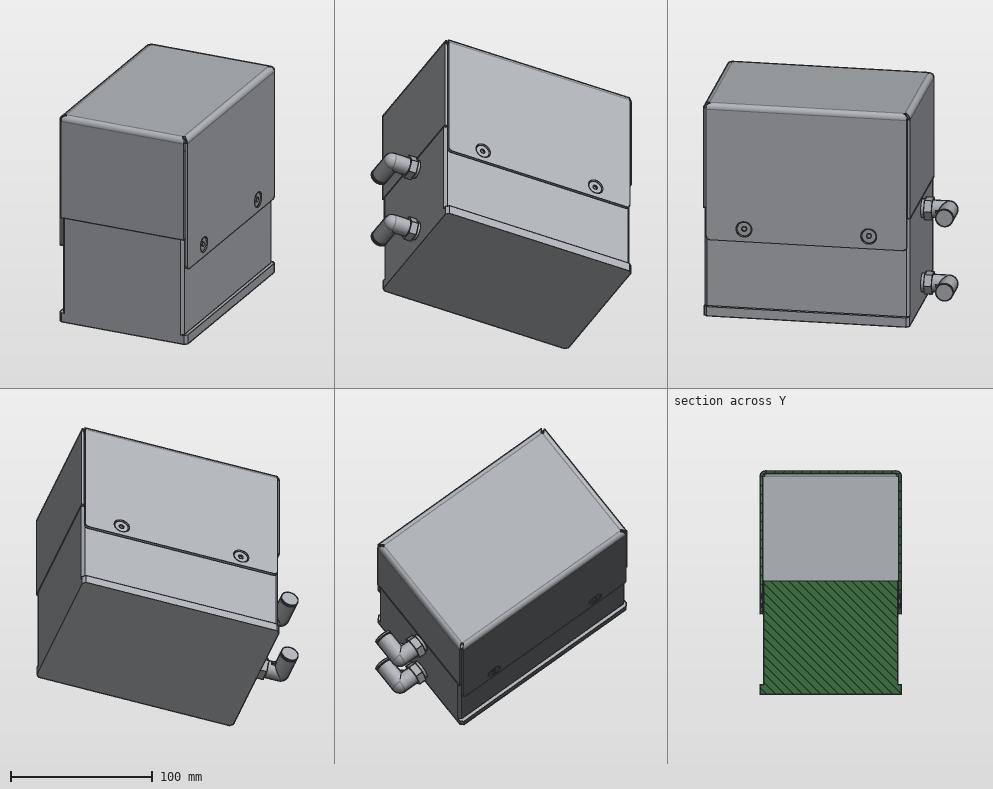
import cadquery as cq
overall_length = 173.5
overall_height = 158.0

cover_width = 100.0
cover_length = 148.3
sheet = 1.9
bend_radius = 4.0
corner_notch = sheet + 0.2
mitre_gap = 1.7
end_flap_drop = 77.9
side_flap_drop = 101.2
side_flap_corner_radius = 3.0

screw_spacing = 89.5
screw_height = 66.1
countersink_outer = 11.5
countersink_inner = 10.0
countersink_depth = 0.7
screw_hole = 3.5

base_width = 94.7
base_length = 147.5
base_height = overall_height - end_flap_drop
base_chamfer = 2.0
flange_width = cover_width
flange_height = 7.0

fitting_x = -3.1
fitting_heights = (16.1, 71.5)
collar_diameter = 13.5
collar_length = 2.3
hex_flats = 14.4
hex_corners = hex_flats * 2 / 3**0.5
hex_length = 5.5
elbow_diameter = 12.5
elbow_radius = elbow_diameter / 2
arm_length = 20.0
groove_diameter = 12.0
groove_width = 0.7
groove_inset = 1.4
gusset_leg = 2.6
gusset_thickness = 1.7
base_back = base_length / 2
elbow_axis_y = overall_length - cover_length / 2 - elbow_radius


def rounded_top_box(width, length, bottom, top, radius):
    """Upright box, centred on the Z axis, with its four top edges rounded."""
    box = cq.Workplane("XY").workplane(offset=bottom).rect(width, length).extrude(top - bottom)
    return box.faces(">Z").edges().fillet(radius)


def make_countersink(side):
    """Cutters for the two countersunk holes in one side flap; side is -1 or +1."""
    outer_face = cq.Workplane("YZ", origin=(side * cover_width / 2, 0, screw_height))
    spots = [(-screw_spacing / 2, 0), (screw_spacing / 2, 0)]
    holes = outer_face.pushPoints(spots).circle(screw_hole / 2).extrude(-side * sheet)
    for y, z in spots:
        cone = (
            outer_face.center(y, z)
            .circle(countersink_outer / 2)
            .workplane(offset=-side * countersink_depth)
            .circle(countersink_inner / 2)
            .loft()
        )
        holes = holes.union(cone)
    return holes


def make_cover():
    side_bottom = overall_height - side_flap_drop
    inner_width = cover_width - 2 * sheet
    inner_length = cover_length - 2 * sheet
    outside = rounded_top_box(cover_width, cover_length, side_bottom, overall_height, bend_radius)
    inside = rounded_top_box(
        inner_width, inner_length, side_bottom, overall_height - sheet, bend_radius - sheet
    )
    cover = outside.cut(inside)

    notches = (
        cq.Workplane("XY")
        .workplane(offset=side_bottom)
        .rect(cover_width, cover_length, forConstruction=True)
        .vertices()
        .rect(2 * corner_notch, 2 * corner_notch)
        .extrude(side_flap_drop)
    )
    cover = cover.cut(notches)

    for x_side in (-1, 1):
        for y_side in (-1, 1):
            plate_corner = (
                x_side * (cover_width / 2 - bend_radius),
                y_side * (cover_length / 2 - bend_radius),
                overall_height - bend_radius,
            )
            outward = cq.Plane(plate_corner, xDir=(x_side, y_side, 0), normal=(0, 0, 1))
            slot = (
                cq.Workplane(outward)
                .center(bend_radius, 0)
                .rect(2 * bend_radius, mitre_gap)
                .extrude(bend_radius)
            )
            cover = cover.cut(slot)

    end_trim = (
        cq.Workplane("XY")
        .workplane(offset=side_bottom)
        .rect(inner_width, cover_length)
        .extrude(base_height - side_bottom)
    )
    cover = cover.cut(end_trim)

    cover = cover.faces("<Z").edges("|X").fillet(side_flap_corner_radius)

    for side in (-1, 1):
        cover = cover.cut(make_countersink(side))
    return cover


def make_fitting(height):
    """Elbow fitting: collar, hexagon and a tube that turns towards +X."""
    back = cq.Workplane("XZ", origin=(fitting_x, base_back, height))
    collar = back.circle(collar_diameter / 2).extrude(-collar_length)
    hexagon = back.workplane(offset=-collar_length).polygon(6, hex_corners).extrude(-hex_length)
    stem = back.circle(elbow_radius).extrude(base_back - elbow_axis_y)
    bend = cq.Workplane("XY", origin=(fitting_x, elbow_axis_y, height)).sphere(elbow_radius)

    arm = (
        cq.Workplane("YZ", origin=(fitting_x, elbow_axis_y, height))
        .circle(elbow_radius)
        .extrude(arm_length)
    )
    groove = (
        cq.Workplane("YZ", origin=(fitting_x + arm_length - groove_inset, elbow_axis_y, height))
        .circle(elbow_radius)
        .circle(groove_diameter / 2)
        .extrude(-groove_width)
    )

    web_end = elbow_radius + gusset_leg
    web_outline = [
        (0, 0),
        (web_end, 0),
        (web_end, -elbow_radius),
        (elbow_radius, -web_end),
        (0, -web_end),
    ]
    gusset = (
        cq.Workplane("XY", origin=(fitting_x, elbow_axis_y, height - gusset_thickness / 2))
        .polyline(web_outline)
        .close()
        .extrude(gusset_thickness)
    )
    return collar.union(hexagon).union(stem).union(bend).union(arm.cut(groove)).union(gusset)


def make_base():
    block = cq.Workplane("XY").rect(base_width, base_length).extrude(base_height)
    flange = cq.Workplane("XY").rect(flange_width, base_length).extrude(flange_height)
    block = block.edges("|Z").chamfer(base_chamfer)
    flange = flange.edges("|Z").chamfer(base_chamfer)
    base = block.union(flange)
    for height in fitting_heights:
        base = base.union(make_fitting(height))
    return base


cover = make_cover()
base = make_base()

result = cq.Compound.makeCompound([cover.val(), base.val()])